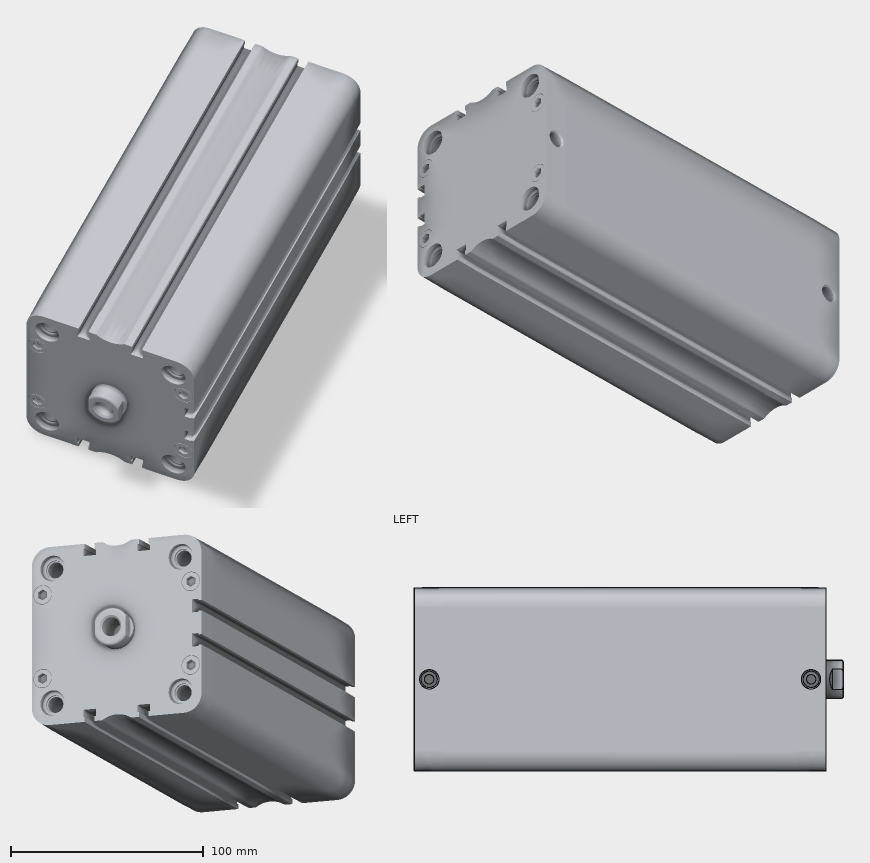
import cadquery as cq
import math

total_length = 223
width = 95.5
half_width = width / 2
corner_radius = 10.0
rod_length = 9
cap_length = 15.0
cap_draft = 0.2
block_length = total_length - rod_length
body_length = block_length - 2 * cap_length
front_face_y = -total_length / 2
cap_face_y = front_face_y + rod_length
rear_face_y = total_length / 2
middle_y = (cap_face_y + rear_face_y) / 2
half_body = body_length / 2
half_block = block_length / 2

groove_half_width = 8.0
groove_depth = 2.5
rib_break = 0.5

slot_neck_width = 5.5
slot_base_width = 7.0
wide_slot_depth = 6.7
side_slot_depth = 5.5
slot_base_height = 3.8
wide_slot_offset = 15.2
side_slot_offset = 9.1

mount_offset = 36.0
mount_hole_diameter = 8.5
mount_rim_diameter = 9.8
mount_bore_diameter = 13.5
mount_bore_depth = 3.3
mount_rim_depth = 4.5

screw_offset_x = 41.5
screw_offset_z = 22.3
screw_bore_diameter = 10.3
screw_head_diameter = 9.8
screw_gap_depth = 2.2
screw_hex_across_corners = 5.8
screw_hex_depth = 3.3

port_inset = 7.8
port_rim_diameter = 10.3
port_diameter = 8.5
port_depth = 10.0
port_bottom_diameter = 5.0
port_bottom_depth = 15.5

rod_diameter = 20
rod_clearance_diameter = 20.5
rod_clearance_depth = 2.2
rod_edge_radius = 1.3
flat_half_width = 8.5
flat_start = 1.8
rod_rim_diameter = 12.0
rod_thread_diameter = 10.0
rod_thread_depth = 17.8


def profile(y):
    """Closed outline of the block, on a plane facing -Y at position y."""
    h = half_width
    g = groove_half_width
    c = h - corner_radius
    m = h - corner_radius * (1 - math.sqrt(0.5))
    bottom = h - groove_depth
    return (
        cq.Workplane("XZ", origin=(0, y, 0))
        .moveTo(g, h)
        .lineTo(c, h)
        .threePointArc((m, m), (h, c))
        .lineTo(h, -c)
        .threePointArc((m, -m), (c, -h))
        .lineTo(g, -h)
        .threePointArc((0, -bottom), (-g, -h))
        .lineTo(-c, -h)
        .threePointArc((-m, -m), (-h, -c))
        .lineTo(-h, c)
        .threePointArc((-m, m), (-c, h))
        .lineTo(-g, h)
        .threePointArc((0, bottom), (g, h))
        .close()
    )


def cylinder_from_face(x, z, diameter, depth):
    """Cylinder running inward from the front cap face."""
    return (
        cq.Workplane("XZ", origin=(x, cap_face_y, z))
        .circle(diameter / 2)
        .extrude(-depth)
    )


def t_slot(angle, offset, depth):
    """Full-length T-slot opening upward, then turned about Y by angle."""
    floor_z = half_width - depth
    base = cq.Workplane("XY").box(
        slot_base_width, block_length, slot_base_height, centered=(True, True, False)
    )
    neck = cq.Workplane("XY").box(
        slot_neck_width, block_length, 2 * depth, centered=(True, True, False)
    )
    slot = base.union(neck).translate((offset, middle_y, floor_z))
    return slot.rotate((0, 0, 0), (0, 1, 0), angle)


def is_rib_edge(point):
    """True for a point on the outer long edges of the ribs beside the groove."""
    slot_wall = wide_slot_offset - slot_neck_width / 2
    in_width = groove_half_width - rib_break < abs(point.x) < slot_wall + rib_break
    return in_width and abs(point.z) > half_width - rib_break


def mount_hole(x, z):
    bore = cylinder_from_face(x, z, mount_bore_diameter, mount_bore_depth)
    rim = cylinder_from_face(x, z, mount_rim_diameter, mount_rim_depth)
    hole = cylinder_from_face(x, z, mount_hole_diameter, half_block)
    return bore.union(rim).union(hole)


def ring_gap(x, z, outer_diameter, inner_diameter, depth):
    outer = cylinder_from_face(x, z, outer_diameter, depth)
    return outer.cut(cylinder_from_face(x, z, inner_diameter, depth))


def screw_recess(x, z):
    """Ring gap around a flush screw head, and its hexagon socket."""
    gap = ring_gap(x, z, screw_bore_diameter, screw_head_diameter, screw_gap_depth)
    socket = (
        cq.Workplane("XZ", origin=(x, cap_face_y, z))
        .transformed(rotate=(0, 0, 90))
        .polygon(6, screw_hex_across_corners)
        .extrude(-screw_hex_depth)
    )
    return gap.union(socket)


def port():
    """Stepped round port entering the front cap from the -X side."""
    chamfer = (port_rim_diameter - port_diameter) / 2
    half_profile = [
        (-half_width, 0),
        (-half_width, port_rim_diameter / 2),
        (-half_width + chamfer, port_diameter / 2),
        (-half_width + port_depth, port_diameter / 2),
        (-half_width + port_depth, port_bottom_diameter / 2),
        (-half_width + port_bottom_depth, port_bottom_diameter / 2),
        (-half_width + port_bottom_depth, 0),
    ]
    return (
        cq.Workplane("XY")
        .polyline(half_profile)
        .close()
        .revolve(360, (0, 0, 0), (1, 0, 0))
        .translate((0, cap_face_y + port_inset, 0))
    )


def mirror_to_rear(shape):
    return shape.mirror("XZ", (0, middle_y, 0))


def rod_end():
    rod = (
        cq.Workplane("XZ", origin=(0, cap_face_y, 0))
        .circle(rod_diameter / 2)
        .extrude(rod_length)
        .faces("<Y")
        .fillet(rod_edge_radius)
    )
    r = rod_diameter / 2
    slope_y = cap_face_y - flat_start
    flat_y = slope_y - (r - flat_half_width)
    flat_profile = [
        (r, slope_y),
        (flat_half_width, flat_y),
        (flat_half_width, front_face_y),
        (r, front_face_y),
    ]
    flat = (
        cq.Workplane("XY")
        .polyline(flat_profile)
        .close()
        .extrude(r, both=True)
    )
    rod = rod.cut(flat).cut(flat.mirror("YZ"))

    rim_depth = (rod_rim_diameter - rod_thread_diameter) / 2
    hole_profile = [
        (0, front_face_y),
        (rod_rim_diameter / 2, front_face_y),
        (rod_thread_diameter / 2, front_face_y + rim_depth),
        (rod_thread_diameter / 2, front_face_y + rod_thread_depth),
        (0, front_face_y + rod_thread_depth),
    ]
    hole = cq.Workplane("XY").polyline(hole_profile).close().revolve(360, (0, 0, 0), (0, 1, 0))
    return rod, hole


draft_angle = math.degrees(math.atan2(cap_draft, cap_length))
body = profile(middle_y + half_body).extrude(body_length)
front_cap = profile(middle_y - half_body).extrude(cap_length, taper=draft_angle)
block = body.union(mirror_to_rear(front_cap))

slot_rows = [
    (0, wide_slot_offset, wide_slot_depth),
    (90, side_slot_offset, side_slot_depth),
    (180, wide_slot_offset, wide_slot_depth),
]
for angle, offset, depth in slot_rows:
    for side in (-1, 1):
        slot = t_slot(angle, side * offset, depth)
        block = block.cut(slot)
        front_cap = front_cap.cut(slot)

long_edges = block.edges("not(#Y)").vals()
rib_edges = [edge for edge in long_edges if is_rib_edge(edge.Center())]
block = block.newObject(rib_edges).chamfer(rib_break)
block = block.union(front_cap)

cap_cuts = [port()]
for x_side in (-1, 1):
    for z_side in (-1, 1):
        cap_cuts.append(mount_hole(x_side * mount_offset, z_side * mount_offset))
        cap_cuts.append(screw_recess(x_side * screw_offset_x, z_side * screw_offset_z))
for cutter in cap_cuts:
    block = block.cut(cutter).cut(mirror_to_rear(cutter))

rod, rod_hole = rod_end()
rod_clearance = ring_gap(0, 0, rod_clearance_diameter, rod_diameter, rod_clearance_depth)
result = block.cut(rod_clearance).union(rod).cut(rod_hole)